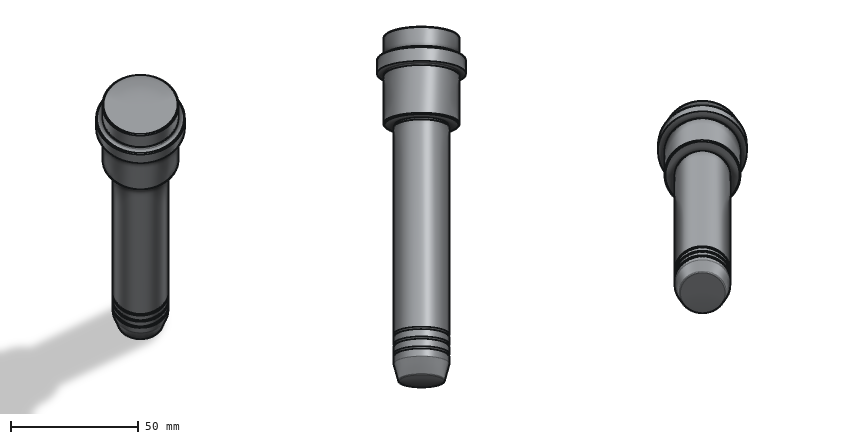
import cadquery as cq
import math

TOTAL_LENGTH = 141.0
HEAD_LENGTH = 36.0
CAP_LENGTH = 9.0
COLLAR_THICKNESS = 6.0
HEAD_BOTTOM = TOTAL_LENGTH - HEAD_LENGTH
COLLAR_TOP = TOTAL_LENGTH - CAP_LENGTH
COLLAR_BOTTOM = COLLAR_TOP - COLLAR_THICKNESS

HEAD_RADIUS = 30.0 / 2
COLLAR_RADIUS = 35.0 / 2
SHAFT_RADIUS = 22.0 / 2

EDGE_CHAMFER = 0.5
UNDERCUT_WIDTH = 1.0
UNDERCUT_DEPTH = 0.5

TAPER_LENGTH = 7.0
TAPER_ANGLE = 15.0
TIP_RADIUS = SHAFT_RADIUS - TAPER_LENGTH * math.tan(math.radians(TAPER_ANGLE))
TIP_FILLET = 0.5

GROOVE_RADIUS = 0.5
TIP_GROOVE_COUNT = 3
TIP_GROOVE_PITCH = 4.0
FIRST_TIP_GROOVE_CENTER = 10.5


def cylinder(radius, bottom, top):
    """Cylinder about Z between two levels."""
    return cq.Workplane("XY").workplane(offset=bottom).circle(radius).extrude(top - bottom)


def cut_half_round_groove(body, surface_radius, center_level):
    """Turn a half-round groove whose two quarter-round faces meet at its deepest point."""
    diagonal = GROOVE_RADIUS * math.sqrt(0.5)
    groove = (
        cq.Workplane("XZ")
        .moveTo(surface_radius, center_level - GROOVE_RADIUS)
        .threePointArc(
            (surface_radius - diagonal, center_level - diagonal),
            (surface_radius - GROOVE_RADIUS, center_level),
        )
        .threePointArc(
            (surface_radius - diagonal, center_level + diagonal),
            (surface_radius, center_level + GROOVE_RADIUS),
        )
        .close()
        .revolve(360, (0, 0, 0), (0, 1, 0), clean=False)
    )
    return body.cut(groove, clean=False)


def make_shaft():
    """Shaft with a rounded tapered tip, a row of grooves and an undercut below the head."""
    undercut_bottom = HEAD_BOTTOM - UNDERCUT_WIDTH
    neck_radius = SHAFT_RADIUS - UNDERCUT_DEPTH
    shaft = (
        cq.Workplane("XZ")
        .moveTo(0, 0)
        .lineTo(TIP_RADIUS, 0)
        .lineTo(SHAFT_RADIUS, TAPER_LENGTH)
        .lineTo(SHAFT_RADIUS, undercut_bottom)
        .lineTo(neck_radius, undercut_bottom)
        .lineTo(neck_radius, HEAD_BOTTOM)
        .lineTo(0, HEAD_BOTTOM)
        .close()
        .revolve(360, (0, 0, 0), (0, 1, 0))
    )
    shaft = shaft.faces("<Z").edges().fillet(TIP_FILLET)
    for index in range(TIP_GROOVE_COUNT):
        center_level = FIRST_TIP_GROOVE_CENTER + index * TIP_GROOVE_PITCH
        shaft = cut_half_round_groove(shaft, SHAFT_RADIUS, center_level)
    return shaft


def make_head():
    """Chamfered head with a collar and a groove against each face of the collar."""
    head = cylinder(HEAD_RADIUS, HEAD_BOTTOM, TOTAL_LENGTH)
    head = head.faces("<Z or >Z").edges().chamfer(EDGE_CHAMFER)
    for center_level in (COLLAR_BOTTOM - GROOVE_RADIUS, COLLAR_TOP + GROOVE_RADIUS):
        head = cut_half_round_groove(head, HEAD_RADIUS, center_level)
    collar = cylinder(COLLAR_RADIUS, COLLAR_BOTTOM, COLLAR_TOP)
    collar = collar.faces(">Z").edges().chamfer(EDGE_CHAMFER)
    return head.union(collar, clean=False)


result = make_shaft().union(make_head(), clean=False)